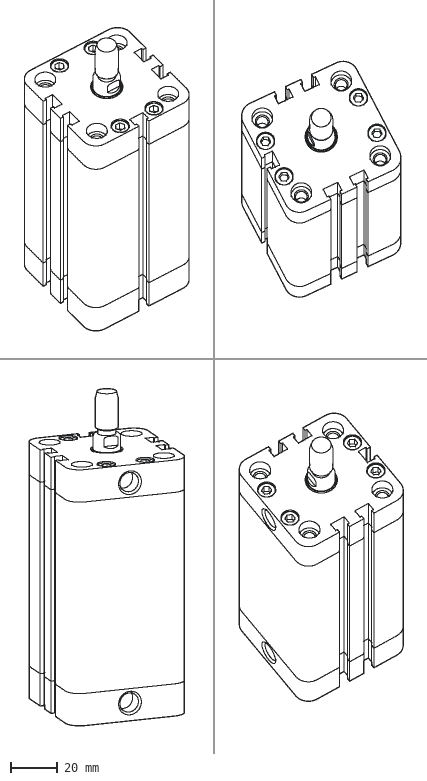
import cadquery as cq
import math


body_width = 54.8
half_width = body_width / 2
corner_radius = 6.6

total_height = 141.0
body_height = 115.0
cap_height = 14.5
barrel_height = body_height - 2 * cap_height
front_cap_base = body_height - cap_height

slot_offset = 6.3
slot_mouth_width = 5.2
slot_inner_width = 7.0
slot_lip = 1.7
slot_depth = 5.6

port_diameter = 8.6
port_mouth_diameter = 10.6
port_chamfer = (port_mouth_diameter - port_diameter) / 2
port_inset = 8.0
core_diameter = 40.0

mount_offset = 19.0
mount_bore_diameter = 9.0
mount_bore_depth = 5.1
mount_hole_diameter = 5.0
mount_chamfer = 0.5

screw_x = 22.4
screw_y = 9.0
screw_seat_diameter = 7.9
screw_seat_depth = 1.1
screw_head_diameter = 7.5
screw_head_inset = 0.5
socket_across_flats = 3.8
socket_depth = 3.5

rod_diameter = 12.0
rod_shoulder_z = 122.1
rod_shoulder_radius = 1.3
neck_diameter = 7.9
thread_diameter = 10.0
thread_base_z = 124.2
thread_base_chamfer = 0.7
thread_tip_diameter = 8.5
thread_tip_length = 3.0
flats_across = 10.0
flats_base_z = 117.7

wiper_groove_diameter = 14.0
wiper_root_diameter = 13.3
wiper_lip_diameter = 12.5
wiper_groove_depth = 0.5


def slot_cutter(height):
    """Undercut slot that opens through the +Y face, centred on X = 0, standing on Z = 0."""
    inner_length = slot_depth - slot_lip
    inner = cq.Workplane("XY").box(slot_inner_width, inner_length, height, centered=(True, False, False))
    inner = inner.translate((0, half_width - slot_depth, 0))
    mouth = cq.Workplane("XY").box(slot_mouth_width, slot_depth, height, centered=(True, False, False))
    mouth = mouth.translate((0, half_width - slot_depth, 0))
    return inner.union(mouth)


def body_section(height):
    """Rounded square block with two slots on each Y face and one on the +X face."""
    block = (
        cq.Workplane("XY")
        .box(body_width, body_width, height, centered=(True, True, False))
        .edges("|Z")
        .fillet(corner_radius)
    )
    slot = slot_cutter(height)
    for side_angle in (0, 180):
        for x in (-slot_offset, slot_offset):
            block = block.cut(slot.translate((x, 0, 0)).rotate((0, 0, 0), (0, 0, 1), side_angle))
    return block.cut(slot.rotate((0, 0, 0), (0, 0, 1), -90))


def port_cutter(z):
    """Chamfered round port entering from -X and stopping at the round core."""
    port = cq.Workplane("YZ", origin=(-half_width, 0, z)).circle(port_diameter / 2).extrude(half_width)
    mouth = cq.Workplane("XY").add(
        cq.Solid.makeCone(
            port_mouth_diameter / 2,
            port_diameter / 2,
            port_chamfer,
            pnt=cq.Vector(-half_width, 0, z),
            dir=cq.Vector(1, 0, 0),
        )
    )
    core = cq.Workplane("XY").circle(core_diameter / 2).extrude(body_height)
    return port.union(mouth).cut(core)


def make_rod():
    """Rod with a necked thread and two wrench flats, standing on the base of the front cap."""
    rod_radius = rod_diameter / 2
    shoulder_flat_radius = rod_radius - rod_shoulder_radius
    arc_inset = rod_shoulder_radius * (1 - math.sqrt(0.5))
    thread_radius = thread_diameter / 2
    neck_radius = neck_diameter / 2
    rod = (
        cq.Workplane("XZ")
        .moveTo(0, front_cap_base)
        .lineTo(rod_radius, front_cap_base)
        .lineTo(rod_radius, rod_shoulder_z - rod_shoulder_radius)
        .threePointArc(
            (rod_radius - arc_inset, rod_shoulder_z - arc_inset),
            (shoulder_flat_radius, rod_shoulder_z),
        )
        .lineTo(neck_radius, rod_shoulder_z)
        .lineTo(neck_radius, thread_base_z)
        .lineTo(thread_radius, thread_base_z + thread_base_chamfer)
        .lineTo(thread_radius, total_height - thread_tip_length)
        .lineTo(thread_tip_diameter / 2, total_height)
        .lineTo(0, total_height)
        .close()
        .revolve(360, (0, 0, 0), (0, 1, 0))
    )
    flat_inset = rod_radius - flats_across / 2
    for side in (-1, 1):
        flat = (
            cq.Workplane("XZ")
            .moveTo(side * flats_across / 2, flats_base_z)
            .lineTo(side * rod_radius, flats_base_z - flat_inset)
            .lineTo(side * rod_radius, rod_shoulder_z)
            .lineTo(side * flats_across / 2, rod_shoulder_z)
            .close()
            .extrude(rod_radius, both=True)
        )
        rod = rod.cut(flat)
    return rod


def mount_hole_cutter():
    """Counterbored hole through the front cap with a chamfered thread mouth."""
    bore_floor = body_height - mount_bore_depth
    hole = cq.Workplane("XY", origin=(0, 0, front_cap_base)).circle(mount_hole_diameter / 2).extrude(cap_height)
    bore = cq.Workplane("XY", origin=(0, 0, bore_floor)).circle(mount_bore_diameter / 2).extrude(mount_bore_depth)
    mouth = cq.Workplane("XY").add(
        cq.Solid.makeCone(
            mount_hole_diameter / 2,
            mount_hole_diameter / 2 + mount_chamfer,
            mount_chamfer,
            pnt=cq.Vector(0, 0, bore_floor - mount_chamfer),
        )
    )
    return hole.union(bore).union(mouth)


def screw_cutter():
    """Round seat around a sunken screw head, with the hexagon socket in that head."""
    head_top = body_height - screw_head_inset
    seat_floor = body_height - screw_seat_depth
    seat = cq.Workplane("XY", origin=(0, 0, seat_floor)).circle(screw_seat_diameter / 2).extrude(screw_seat_depth)
    head = (
        cq.Workplane("XY", origin=(0, 0, seat_floor))
        .circle(screw_head_diameter / 2)
        .extrude(head_top - seat_floor)
    )
    socket = (
        cq.Workplane("XY", origin=(0, 0, head_top))
        .polygon(6, socket_across_flats, circumscribed=True)
        .extrude(-socket_depth)
    )
    return seat.cut(head).union(socket)


def wiper_groove_cutter():
    """V-shaped ring groove in the top face, just outside the rod."""
    return (
        cq.Workplane("XZ")
        .moveTo(wiper_lip_diameter / 2, body_height)
        .lineTo(wiper_root_diameter / 2, body_height - wiper_groove_depth)
        .lineTo(wiper_groove_diameter / 2, body_height)
        .close()
        .revolve(360, (0, 0, 0), (0, 1, 0))
    )


def make_front_cap():
    """Front cap with its port, rod bore, wiper groove, mounting holes and screw heads."""
    cap = body_section(cap_height).translate((0, 0, front_cap_base))
    cap = cap.cut(port_cutter(body_height - port_inset))
    rod_bore = cq.Workplane("XY", origin=(0, 0, front_cap_base)).circle(rod_diameter / 2).extrude(cap_height)
    cap = cap.cut(rod_bore).cut(wiper_groove_cutter())
    mount_hole = mount_hole_cutter()
    screw = screw_cutter()
    for x_side in (-1, 1):
        for y_side in (-1, 1):
            cap = cap.cut(mount_hole.translate((x_side * mount_offset, y_side * mount_offset, 0)))
            cap = cap.cut(screw.translate((x_side * screw_x, y_side * screw_y, 0)))
    return cap


def make_barrel():
    """Plain length of the slotted section between the caps."""
    return body_section(barrel_height).translate((0, 0, cap_height))


def make_rear_cap():
    """Rear cap with its port."""
    return body_section(cap_height).cut(port_cutter(port_inset))


front_cap = make_front_cap()
barrel = make_barrel()
rear_cap = make_rear_cap()
rod = make_rod()

result = cq.Compound.makeCompound([front_cap.val(), barrel.val(), rear_cap.val(), rod.val()])